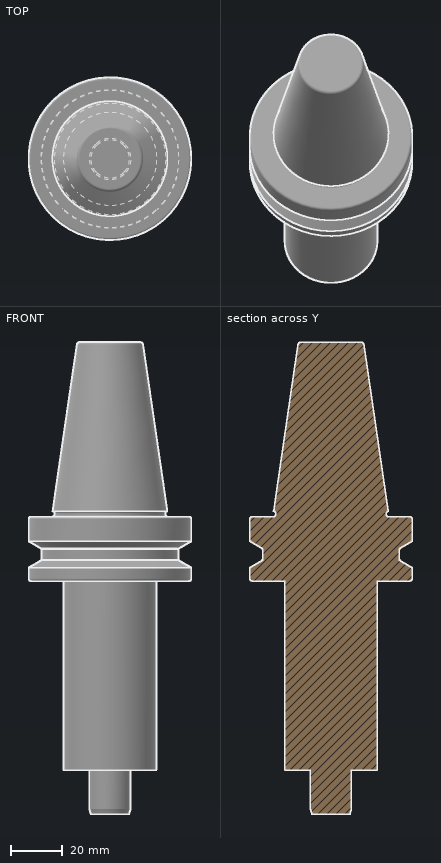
import cadquery as cq
import math


gauge_diameter = 44.45
taper_length = 65.4
taper_ratio = 7 / 24
taper_tip_radius = 1.2

neck_diameter = 43.0
neck_length = 2.0
neck_fillet = 0.7

flange_diameter = 62.95
flange_thickness = 25.0
flange_edge_radius = 1.0
groove_floor_diameter = 53.0
groove_floor_width = 4.4
groove_fillet = 0.4
groove_center_depth = 16.65
groove_wall_angle = 30.0

shank_diameter = 36.0
shank_end_depth = 100.0
shank_edge_radius = 0.5
pilot_diameter = 16.0
pilot_length = 17.0
pilot_chamfer_radial = 0.6
pilot_chamfer_length = 2.0

gauge_radius = gauge_diameter / 2
tip_radius = gauge_radius - taper_length * taper_ratio / 2
neck_radius = neck_diameter / 2
flange_radius = flange_diameter / 2
groove_floor_radius = groove_floor_diameter / 2
shank_radius = shank_diameter / 2
pilot_radius = pilot_diameter / 2
flange_top = -neck_length
flange_bottom = flange_top - flange_thickness
shank_bottom = -shank_end_depth
pilot_bottom = shank_bottom - pilot_length


def cylinder(radius, bottom, top):
    return cq.Workplane("XY").workplane(offset=bottom).circle(radius).extrude(top - bottom)


def make_taper():
    profile = [(0, 0), (gauge_radius, 0), (tip_radius, taper_length), (0, taper_length)]
    taper = cq.Workplane("XZ").polyline(profile).close().revolve(360, (0, 0), (0, 1))
    return taper.faces(">Z").fillet(taper_tip_radius)


def make_groove_cutter():
    wall_height = (flange_radius - groove_floor_radius) * math.tan(math.radians(groove_wall_angle))
    floor_half = groove_floor_width / 2
    mouth_half = floor_half + wall_height
    profile = [
        (groove_floor_radius, -groove_center_depth - floor_half),
        (flange_radius, -groove_center_depth - mouth_half),
        (flange_radius, -groove_center_depth + mouth_half),
        (groove_floor_radius, -groove_center_depth + floor_half),
    ]
    cutter = cq.Workplane("XZ").polyline(profile).close().revolve(360, (0, 0), (0, 1))
    floor_edges = cutter.edges(cq.selectors.RadiusNthSelector(0))
    return floor_edges.fillet(groove_fillet)


def make_neck():
    neck_end_radius = neck_radius + neck_fillet
    fillet_middle = neck_fillet * (1 - math.sqrt(0.5))
    return (
        cq.Workplane("XZ")
        .moveTo(0, flange_top)
        .lineTo(neck_end_radius, flange_top)
        .threePointArc(
            (neck_radius + fillet_middle, flange_top + fillet_middle),
            (neck_radius, flange_top + neck_fillet),
        )
        .lineTo(neck_radius, -neck_fillet)
        .threePointArc((neck_radius + fillet_middle, -fillet_middle), (neck_end_radius, 0))
        .lineTo(0, 0)
        .close()
        .revolve(360, (0, 0), (0, 1))
    )


def make_flange():
    blank = cylinder(flange_radius, flange_bottom, flange_top).edges().fillet(flange_edge_radius)
    return blank.cut(make_groove_cutter())


def make_shank():
    shank = cylinder(shank_radius, shank_bottom, flange_bottom)
    return shank.faces("<Z").fillet(shank_edge_radius)


def make_pilot():
    profile = [
        (0, pilot_bottom),
        (pilot_radius - pilot_chamfer_radial, pilot_bottom),
        (pilot_radius, pilot_bottom + pilot_chamfer_length),
        (pilot_radius, shank_bottom),
        (0, shank_bottom),
    ]
    return cq.Workplane("XZ").polyline(profile).close().revolve(360, (0, 0), (0, 1))


result = make_taper().union(make_neck()).union(make_flange()).union(make_shank()).union(make_pilot())